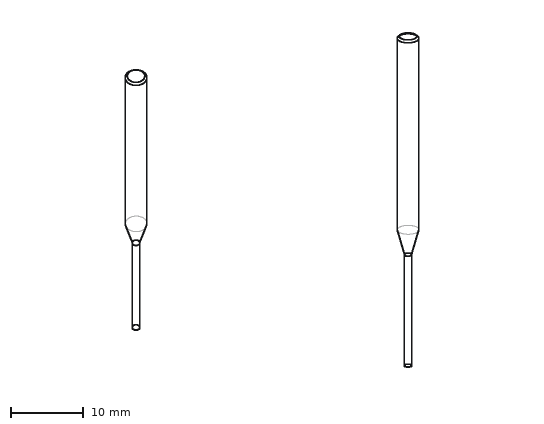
import cadquery as cq

total_length = 50.0
half_length = total_length / 2

shank_radius = 1.5
top_chamfer = 0.3
shank_length = 29.2
taper_length = 3.65
collar_length = 0.15

cutter_diameter = 1.05
cutter_radius = cutter_diameter / 2
tip_height = 0.25

top_z = half_length
tip_z = -half_length
taper_top_z = top_z - shank_length
taper_bottom_z = taper_top_z - taper_length
joint_z = taper_bottom_z - collar_length


def revolve_profile(points):
    """Turn a closed half profile of (radius, z) points about the Z axis."""
    return cq.Workplane("XZ").polyline(points).close().revolve(360, (0, 0), (0, 1))


def make_shank():
    """Chamfered cylinder that tapers down to the cutter diameter."""
    return revolve_profile([
        (0, top_z),
        (shank_radius - top_chamfer, top_z),
        (shank_radius, top_z - top_chamfer),
        (shank_radius, taper_top_z),
        (cutter_radius, taper_bottom_z),
        (cutter_radius, joint_z),
        (0, joint_z),
    ])


def make_cutter():
    """Slender rod with a shallow conical point, butted against the shank."""
    return revolve_profile([
        (0, joint_z),
        (cutter_radius, joint_z),
        (cutter_radius, tip_z + tip_height),
        (0, tip_z),
    ])


shank = make_shank()
cutter = make_cutter()

result = cq.Compound.makeCompound([shank.val(), cutter.val()])